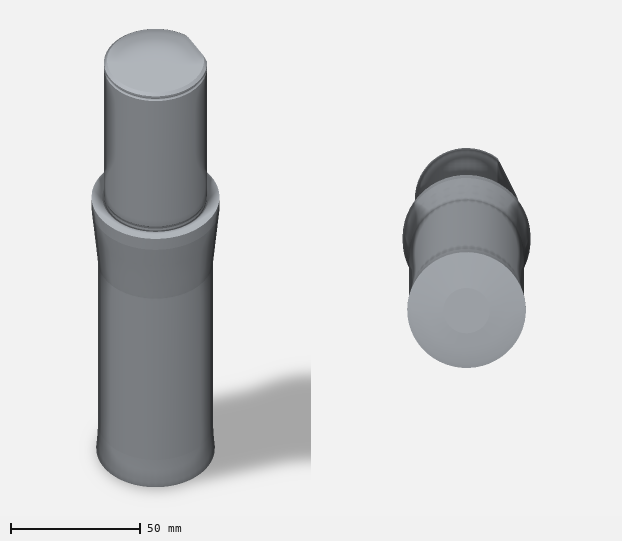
import cadquery as cq

TOTAL_HEIGHT = 200.0
SEAT_Z = 130.0

COLLAR_DIAMETER = 49.5
COLLAR_HEIGHT = 5.5
BARREL_DIAMETER = 44.5
TAPER_END_Z = 97.2
FLARE_START_Z = 14.5
FLARE_DIAMETER = 46.0
FLARE_MIDDLE_DIAMETER = 45.0
RIM_Z = 1.5
CROWN_EDGE_Z = 1.0
CROWN_FLAT_DIAMETER = 18.0
RELIEF_DIAMETER = 41.2
RELIEF_DEPTH = 0.5

SHANK_DIAMETER = 40.0
GROOVE_DIAMETER = 38.8
NECK_HEIGHT = 1.5
NECK_FOOT_DIAMETER = 39.5
NECK_FOOT_HEIGHT = 0.5
NECK_CHAMFER_HEIGHT = 0.5
TOP_FACE_DIAMETER = 37.5
TOP_CHAMFER_HEIGHT = 1.0
TOP_LIP_HEIGHT = 0.8
TOP_GROOVE_HEIGHT = 1.0
TOP_GROOVE_SLOPE_HEIGHT = 0.5
FLAT_Y = 17.8
FLAT_START_Z = 133.5
FLAT_RUNOUT_HEIGHT = 1.5


def make_housing():
    """Barrel with a collar tapering into it, a flared lower end and a crowned bottom.

    A shallow V-shaped relief in the collar's top face surrounds the foot of the shank.
    """
    collar_radius = COLLAR_DIAMETER / 2
    barrel_radius = BARREL_DIAMETER / 2
    flare_radius = FLARE_DIAMETER / 2
    foot_radius = NECK_FOOT_DIAMETER / 2
    flare_middle = (FLARE_MIDDLE_DIAMETER / 2, (FLARE_START_Z + RIM_Z) / 2)
    profile = (
        cq.Workplane("XZ")
        .moveTo(0, 0)
        .lineTo(0, SEAT_Z)
        .lineTo(foot_radius, SEAT_Z)
        .lineTo(foot_radius, SEAT_Z - RELIEF_DEPTH)
        .lineTo(RELIEF_DIAMETER / 2, SEAT_Z)
        .lineTo(collar_radius, SEAT_Z)
        .lineTo(collar_radius, SEAT_Z - COLLAR_HEIGHT)
        .lineTo(barrel_radius, TAPER_END_Z)
        .lineTo(barrel_radius, FLARE_START_Z)
        .threePointArc(flare_middle, (flare_radius, RIM_Z))
        .lineTo(flare_radius, CROWN_EDGE_Z)
        .lineTo(CROWN_FLAT_DIAMETER / 2, 0)
        .close()
    )
    return profile.revolve(360, (0, 0, 0), (0, 1, 0))


def make_turned_shank():
    """Round shank with a relief neck that widens at its foot, and a groove under its top lip."""
    shank_radius = SHANK_DIAMETER / 2
    groove_radius = GROOVE_DIAMETER / 2
    neck_top_z = SEAT_Z + NECK_HEIGHT
    lip_top_z = TOTAL_HEIGHT - TOP_CHAMFER_HEIGHT
    groove_top_z = lip_top_z - TOP_LIP_HEIGHT
    groove_bottom_z = groove_top_z - TOP_GROOVE_HEIGHT
    profile = (
        cq.Workplane("XZ")
        .moveTo(0, SEAT_Z)
        .lineTo(NECK_FOOT_DIAMETER / 2, SEAT_Z)
        .lineTo(groove_radius, SEAT_Z + NECK_FOOT_HEIGHT)
        .lineTo(groove_radius, neck_top_z)
        .lineTo(shank_radius, neck_top_z + NECK_CHAMFER_HEIGHT)
        .lineTo(shank_radius, groove_bottom_z - TOP_GROOVE_SLOPE_HEIGHT)
        .lineTo(groove_radius, groove_bottom_z)
        .lineTo(groove_radius, groove_top_z)
        .lineTo(shank_radius, groove_top_z)
        .lineTo(shank_radius, lip_top_z)
        .lineTo(TOP_FACE_DIAMETER / 2, TOTAL_HEIGHT)
        .lineTo(0, TOTAL_HEIGHT)
        .close()
    )
    return profile.revolve(360, (0, 0, 0), (0, 1, 0))


def make_flat_cutter():
    """Material removed for the +Y flat, with a sloping run-out at its lower end."""
    shank_radius = SHANK_DIAMETER / 2
    return (
        cq.Workplane("YZ")
        .moveTo(FLAT_Y, TOTAL_HEIGHT)
        .lineTo(FLAT_Y, FLAT_START_Z + FLAT_RUNOUT_HEIGHT)
        .lineTo(shank_radius, FLAT_START_Z)
        .lineTo(shank_radius, TOTAL_HEIGHT)
        .close()
        .extrude(shank_radius, both=True)
    )


housing = make_housing()
shank = make_turned_shank().cut(make_flat_cutter())

result = cq.Compound.makeCompound([housing.val(), shank.val()])